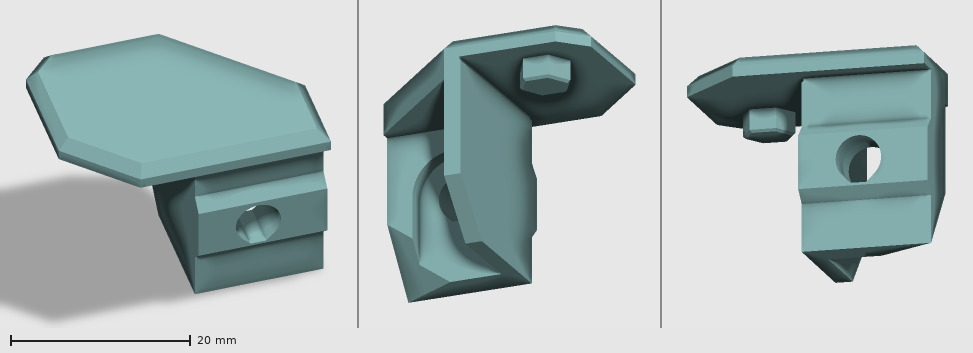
import cadquery as cq
import math

width, length, height = 23.0, 29.55, 22.5

plate_thickness = 2.48
plate_bevel = 1.25
front_left_chamfer = 3.0
front_right_chamfer = 7.33
rear_left_chamfer = 13.0

wall_thickness = 2.0
wall_width = 20.1
wall_chamfer = 6.0
wall_rear = length - rear_left_chamfer
wall_front = wall_rear - wall_thickness
groove_size = 0.47
flange_thickness = 6.0
flange_left = wall_width - flange_thickness
rear_block_height = 4.9
corner_cut_height = 7.25
corner_cut_slope = 1 / math.sqrt(2)

hole_radius = 2.63
hole_flat_drop = 2.8
hole_z = -12.5
recess_radius = 4.95
hole_y = wall_rear + recess_radius
recess_depth = 2.0
rail_base_width = 8.92
rail_tip_width = 6.2
rail_height = 1.45

peg_x, peg_y = 6.0, 6.85
peg_across_flats = 5.3
peg_bottom = -5.15
peg_chamfer = 0.3


def make_plate():
    outline = [
        (front_left_chamfer, 0),
        (width - front_right_chamfer, 0),
        (width, front_right_chamfer),
        (width, length),
        (rear_left_chamfer, length),
        (0, wall_rear),
        (0, front_left_chamfer),
    ]
    plate = cq.Workplane("XY").polyline(outline).close().extrude(-plate_thickness)
    return plate.faces(">Z").chamfer(plate_bevel)


def make_wall():
    outline = [
        (0, -plate_thickness),
        (wall_width, -plate_thickness),
        (wall_width, -height),
        (wall_chamfer, -height),
        (0, wall_chamfer - height),
    ]
    wall = cq.Workplane("XZ", origin=(0, wall_front, 0)).polyline(outline).close()
    return wall.extrude(-wall_thickness)


def make_rear_block():
    """Slant-sided block joining the plate, wall and flange."""
    outline = [(0, wall_rear), (wall_width, wall_rear), (wall_width, length), (rear_left_chamfer, length)]
    block = cq.Workplane("XY", origin=(0, 0, -rear_block_height)).polyline(outline).close()
    return block.extrude(rear_block_height - plate_thickness)


def make_flange():
    flange = cq.Workplane("XY").box(
        flange_thickness, rear_left_chamfer, height - plate_thickness, centered=False
    )
    return flange.translate((flange_left, wall_rear, -height))


def make_corner_cut():
    """Pyramid whose sloping face runs out at the lower rear corner of the flange."""
    cut_length = corner_cut_height / corner_cut_slope
    corner = cq.Vector(flange_left, length, -height)
    rear = cq.Vector(flange_left, length, corner_cut_height - height)
    front = cq.Vector(flange_left, length - cut_length, -height)
    apex = cq.Vector(wall_width, length, -height)
    triangles = [(corner, rear, front), (corner, rear, apex), (corner, front, apex), (rear, front, apex)]
    faces = [cq.Face.makeFromWires(cq.Wire.makePolygon(points, close=True)) for points in triangles]
    return cq.Workplane(cq.Solid.makeSolid(cq.Shell.makeShell(faces)))


def make_recess():
    """Round-topped pocket, open at the bottom of the flange."""
    pocket = cq.Workplane("YZ", origin=(flange_left, 0, 0))
    return (
        pocket.moveTo(hole_y - recess_radius, -height)
        .lineTo(hole_y - recess_radius, hole_z)
        .threePointArc((hole_y, hole_z + recess_radius), (hole_y + recess_radius, hole_z))
        .lineTo(hole_y + recess_radius, -height)
        .close()
        .extrude(recess_depth)
    )


def make_rail():
    """Tapered rail along the outer side, flush with the front of the wall."""
    outline = [
        (wall_width, hole_z - rail_base_width / 2),
        (wall_width + rail_height, hole_z - rail_tip_width / 2),
        (wall_width + rail_height, hole_z + rail_tip_width / 2),
        (wall_width, hole_z + rail_base_width / 2),
    ]
    rail = cq.Workplane("XZ", origin=(0, wall_front, 0)).polyline(outline).close()
    return rail.extrude(wall_front - length)


def make_hole():
    """Circular hole with a flat-ended teardrop at its lower side."""
    tangent = hole_radius / math.sqrt(2)
    flat_half = 2 * tangent - hole_flat_drop
    hole = cq.Workplane("YZ", origin=(flange_left, hole_y, hole_z))
    return (
        hole.moveTo(-tangent, -tangent)
        .threePointArc((0, hole_radius), (tangent, -tangent))
        .lineTo(flat_half, -hole_flat_drop)
        .lineTo(-flat_half, -hole_flat_drop)
        .close()
        .extrude(flange_thickness + rail_height)
    )


def make_groove():
    """Small relief in the inside corner between plate and wall."""
    groove = cq.Workplane("YZ").moveTo(wall_front, -plate_thickness - groove_size)
    return (
        groove.lineTo(wall_front + groove_size / 2, -plate_thickness - groove_size / 2)
        .lineTo(wall_front + groove_size / 2, -plate_thickness)
        .lineTo(wall_front, -plate_thickness)
        .close()
        .extrude(wall_width)
    )


def make_peg():
    across_corners = peg_across_flats / math.cos(math.pi / 6)
    peg = cq.Workplane("XY", origin=(peg_x, peg_y, peg_bottom)).polygon(6, across_corners)
    peg = peg.extrude(-plate_thickness - peg_bottom).faces("<Z").chamfer(peg_chamfer)
    return peg.rotate((peg_x, peg_y, 0), (peg_x, peg_y, 1), 90)


result = make_plate().union(make_wall()).union(make_rear_block()).union(make_flange())
result = result.cut(make_recess()).cut(make_corner_cut()).union(make_rail())
result = result.cut(make_hole()).cut(make_groove()).union(make_peg())